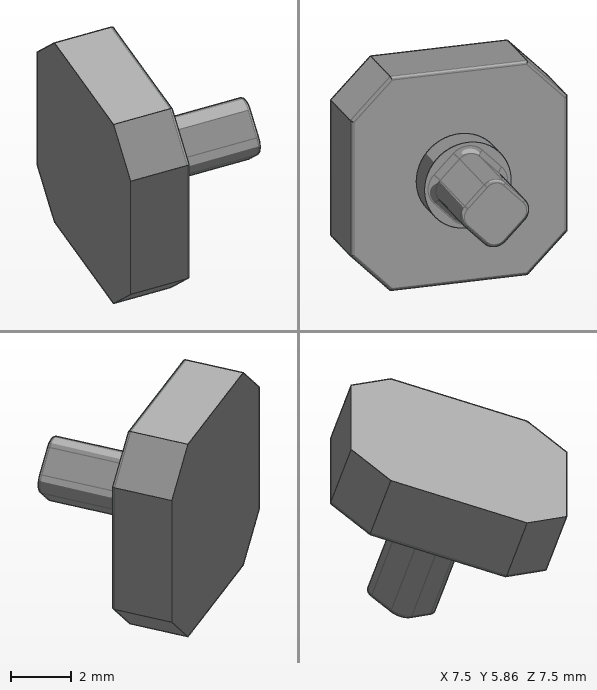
import cadquery as cq
import math

plate_side = 7.5
plate_thickness = 2.14
corner_cut = 1.38
edge_round = 0.1

collar_diameter = 3.0
collar_length = 0.86

total_depth = 5.86
stem_across_flats = 1.96
stem_corner_radius = 0.5
stem_root_radius = 0.2

collar_end = plate_thickness + collar_length
stem_length = total_depth - collar_end


def plane_at(depth):
    """Plane parallel to XZ at the given Y, with its normal along +Y."""
    return cq.Workplane(cq.Plane(origin=(0, depth, 0), xDir=(1, 0, 0), normal=(0, 1, 0)))


def make_plate():
    plate = plane_at(0).rect(plate_side, plate_side).extrude(plate_thickness)
    plate = plate.edges("|Y").chamfer(corner_cut)
    return plate.faces(">Y").edges().fillet(edge_round)


def make_collar():
    return plane_at(plate_thickness).circle(collar_diameter / 2).extrude(collar_length)


def make_stem():
    stem = plane_at(collar_end).rect(stem_across_flats, stem_across_flats).extrude(stem_length)
    stem = stem.edges("|Y").fillet(stem_corner_radius)
    stem = stem.faces(">Y").edges().fillet(edge_round)
    return stem.rotate((0, 0, 0), (0, 1, 0), 45)


def round_stem_root(body):
    """Fillet the inside corner where the stem meets the end face of the collar."""
    half_box = stem_across_flats * math.sqrt(0.5)
    root_edges = cq.selectors.BoxSelector(
        (-half_box, collar_end - edge_round, -half_box),
        (half_box, collar_end + edge_round, half_box),
        boundingbox=True,
    )
    return body.edges(root_edges).fillet(stem_root_radius)


result = round_stem_root(make_plate().union(make_collar()).union(make_stem()))